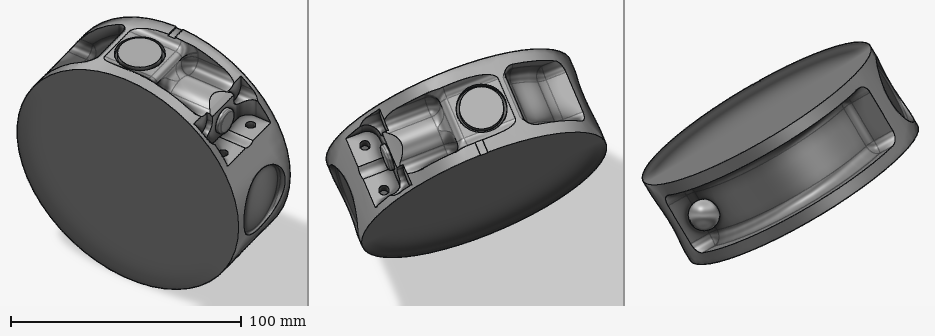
import cadquery as cq
import math

BODY_R = 57.3
BODY_W = 41.0
CLEAR = 68.8

POCKET_HALF_W = 14.8
POCKET_FILLET = 5.0
FLOOR_R = 47.2
SHELF_Z = 27.0
POCKET_WALL_X = 22.6
LIP_R = 2.3

RECESS_R = 16.4
RECESS_DEPTH = 3.4
RECESS_FILLET = 0.9

FLAT_Z = 54.1
FLAT_END_X = 5.0
BUTTON_X = -7.1
BUTTON_R = 9.6
BUTTON_Z = 54.8
GROOVE_R = 11.0
GROOVE_DEPTH = 2.3

NOTCH_W = 3.4
NOTCH_FLOOR_Z = 56.6

RIDGE_R = 12.1
RIDGE_Z = 36.5
RIDGE_START_X = 13.1
RIDGE_TOP_Z = RIDGE_Z + RIDGE_R

HOLLOW_Z = RIDGE_TOP_Z + POCKET_FILLET
STEP_RUN = RIDGE_START_X - FLAT_END_X
STEP_RISE = HOLLOW_Z - FLAT_Z
STEP_R = (STEP_RUN ** 2 + STEP_RISE ** 2 - POCKET_FILLET ** 2) / (2 * (POCKET_FILLET - STEP_RISE))
STEP_CENTER_Z = FLAT_Z - STEP_R
STEP_ANGLE = math.atan2(HOLLOW_Z - STEP_CENTER_Z, STEP_RUN)
STEP_WALL_X = FLAT_END_X + STEP_R * math.cos(STEP_ANGLE)

PAD_X = 35.9
PAD_Z = 29.0
PAD_HALF_W = 17.0
PAD_CORNER_R = 6.0
SCREW_X = 43.0
SCREW_Y = 11.0
SCREW_R = 2.2
SCREW_DEPTH = 6.9
STUD_R = 6.0
STUD_LENGTH = 2.3
STUD_FILLET = 1.0
STUD_GROOVE_R = 8.0
RELIEF_X = 33.0
RELIEF_Y = 13.5
RELIEF_Z = 41.8
RELIEF_R = 5.0

BALL_R = 6.9
BALL_OFFSET = 51.3
BALL_ANGLE = -42.0


def polar(radius, angle, center=(0, 0)):
    """Point on a circle, with the angle in radians from the first axis towards the second."""
    return (center[0] + radius * math.cos(angle), center[1] + radius * math.sin(angle))


def rod_x(radius, x_start, x_end, y, z):
    """Cylinder along X."""
    return cq.Workplane("YZ", origin=(x_start, y, z)).circle(radius).extrude(x_end - x_start)


def rod_z(radius, z_start, z_end, x, y):
    """Cylinder along Z."""
    return cq.Workplane("XY", origin=(x, y, z_start)).circle(radius).extrude(z_end - z_start)


def block(x_range, y_range, z_range):
    """Box given by its limits along each axis."""
    limits = (x_range, y_range, z_range)
    sizes = [high - low for low, high in limits]
    return cq.Workplane("XY").box(*sizes, centered=False).translate([low for low, _ in limits])


def disc(radius, half_width):
    """Cylinder along Y, centred on the origin."""
    return cq.Workplane("XZ").circle(radius).extrude(half_width, both=True)


def inner_edges(cutter):
    """Edges of a cutter that do not lie on its far outer faces."""
    outer = []
    for face in cutter.faces().vals():
        center = face.Center()
        if max(abs(center.x), abs(center.z)) > CLEAR - 0.1:
            outer.extend(face.Edges())
    inner = [edge for edge in cutter.edges().vals() if not any(edge.isSame(other) for other in outer)]
    return cutter.newObject(inner)


def upper_left_pocket():
    """Cutter with a level wall, a curved floor and an upright wall ending in a rounded lip."""
    wall_x = -POCKET_WALL_X
    lip_x = wall_x + LIP_R
    lip_z = math.sqrt((BODY_R - LIP_R) ** 2 - lip_x ** 2)
    lip_angle = math.atan2(lip_z, lip_x)
    lip_mid = polar(LIP_R, (math.pi + lip_angle) / 2, (lip_x, lip_z))
    lip_end = polar(BODY_R, lip_angle)
    low_angle = math.pi - math.asin(SHELF_Z / FLOOR_R)
    high_angle = math.acos(wall_x / FLOOR_R)
    cutter = (
        cq.Workplane("XZ")
        .moveTo(-CLEAR, SHELF_Z)
        .lineTo(*polar(FLOOR_R, low_angle))
        .threePointArc(polar(FLOOR_R, (low_angle + high_angle) / 2), polar(FLOOR_R, high_angle))
        .lineTo(wall_x, lip_z)
        .threePointArc(lip_mid, lip_end)
        .lineTo(lip_end[0], CLEAR)
        .lineTo(-CLEAR, CLEAR)
        .close()
        .extrude(POCKET_HALF_W, both=True)
    )
    edges = inner_edges(cutter).edges(cq.selectors.BoxSelector(
        (-CLEAR, -CLEAR, 0),
        (wall_x + LIP_R / 2, CLEAR, CLEAR),
    ))
    return edges.fillet(POCKET_FILLET)


def lower_pocket():
    """Cutter with level walls left and right and a curved floor around the bottom."""
    cutter = block((-CLEAR, CLEAR), (-POCKET_HALF_W, POCKET_HALF_W), (-CLEAR, -SHELF_Z))
    cutter = cutter.cut(disc(FLOOR_R, BODY_W))
    return inner_edges(cutter).fillet(POCKET_FILLET)


def flat_pocket():
    """Cutter for the top flat and the S-shaped step down to the ridge crest."""
    hollow_angle = (STEP_ANGLE + 2.5 * math.pi) / 2
    round_center = (FLAT_END_X, STEP_CENTER_Z)
    hollow_center = (RIDGE_START_X, HOLLOW_Z)
    cutter = (
        cq.Workplane("XZ")
        .moveTo(-CLEAR, FLAT_Z)
        .lineTo(FLAT_END_X, FLAT_Z)
        .threePointArc(
            polar(STEP_R, (math.pi / 2 + STEP_ANGLE) / 2, round_center),
            polar(STEP_R, STEP_ANGLE, round_center),
        )
        .threePointArc(
            polar(POCKET_FILLET, hollow_angle, hollow_center),
            (RIDGE_START_X, RIDGE_TOP_Z),
        )
        .lineTo(RIDGE_START_X + POCKET_FILLET, RIDGE_TOP_Z)
        .lineTo(RIDGE_START_X + POCKET_FILLET, CLEAR)
        .lineTo(-CLEAR, CLEAR)
        .close()
        .extrude(POCKET_HALF_W, both=True)
    )
    sides = cutter.faces("<Y or >Y").edges("(not >Z) and (not |Z)")
    return sides.fillet(POCKET_FILLET)


def ridge_pocket():
    """Cutter whose floor is the ridge with a round valley along each side."""
    valley_y = POCKET_HALF_W - POCKET_FILLET
    center_gap = RIDGE_R + POCKET_FILLET
    valley_z = RIDGE_Z + math.sqrt(center_gap ** 2 - valley_y ** 2)
    valley_bottom_z = valley_z - POCKET_FILLET
    foot_y, foot_z = polar(RIDGE_R, math.atan2(valley_z - RIDGE_Z, valley_y), (0, RIDGE_Z))
    cutter = (
        cq.Workplane("YZ", origin=(STEP_WALL_X, 0, 0))
        .moveTo(-POCKET_HALF_W, CLEAR)
        .lineTo(-POCKET_HALF_W, valley_z)
        .threePointArc((-valley_y, valley_bottom_z), (-foot_y, foot_z))
        .threePointArc((0, RIDGE_TOP_Z), (foot_y, foot_z))
        .threePointArc((valley_y, valley_bottom_z), (POCKET_HALF_W, valley_z))
        .lineTo(POCKET_HALF_W, CLEAR)
        .close()
        .extrude(CLEAR - STEP_WALL_X)
    )
    return cutter.faces("<X").edges("not >Z").fillet(POCKET_FILLET)


def side_recess(side):
    """Round recess cutter on the left (-1) or right (+1)."""
    floor_x = side * (BODY_R - RECESS_DEPTH)
    cutter = rod_x(RECESS_R, floor_x, side * CLEAR, 0, 0)
    return cutter.faces("<X" if side > 0 else ">X").edges().fillet(RECESS_FILLET)


def pad_cutter():
    """Level pad with rounded corners, side reliefs, screw holes and a stud groove."""
    cutter = block((PAD_X, CLEAR), (-PAD_HALF_W, PAD_HALF_W), (PAD_Z, CLEAR))
    cutter = cutter.edges("|Z and <X").fillet(PAD_CORNER_R)
    cutter = cutter.union(rod_x(STUD_GROOVE_R, PAD_X, CLEAR, 0, RIDGE_Z))
    for side in (-1, 1):
        y = side * RELIEF_Y
        relief_span = (y - RELIEF_R, y + RELIEF_R)
        cutter = cutter.union(rod_x(RELIEF_R, RELIEF_X, CLEAR, y, RELIEF_Z))
        cutter = cutter.union(block((RELIEF_X, CLEAR), relief_span, (RELIEF_Z, CLEAR)))
        cutter = cutter.union(rod_z(SCREW_R, PAD_Z - SCREW_DEPTH, CLEAR, SCREW_X, side * SCREW_Y))
    return cutter


def notch():
    """Shallow slot across the back rim at the top."""
    inner_y = POCKET_HALF_W - POCKET_FILLET
    return block((-NOTCH_W / 2, NOTCH_W / 2), (inner_y, BODY_W), (NOTCH_FLOOR_Z, CLEAR))


result = disc(BODY_R, BODY_W / 2)
for pocket in (upper_left_pocket(), lower_pocket(), flat_pocket(), ridge_pocket()):
    result = result.cut(pocket)
for side in (-1, 1):
    result = result.cut(side_recess(side))
result = result.cut(notch())

result = result.cut(rod_z(GROOVE_R, FLAT_Z - GROOVE_DEPTH, CLEAR, BUTTON_X, 0))
result = result.union(rod_z(BUTTON_R, FLAT_Z - GROOVE_DEPTH, BUTTON_Z, BUTTON_X, 0))

result = result.cut(pad_cutter())
stud = rod_x(STUD_R, PAD_X - STUD_LENGTH, PAD_X + STUD_LENGTH, 0, RIDGE_Z)
result = result.union(stud.faces(">X").edges().fillet(STUD_FILLET))

ball_x, ball_z = polar(BALL_OFFSET, math.radians(BALL_ANGLE))
result = result.union(cq.Workplane("XY").sphere(BALL_R).translate((ball_x, 0, ball_z)))